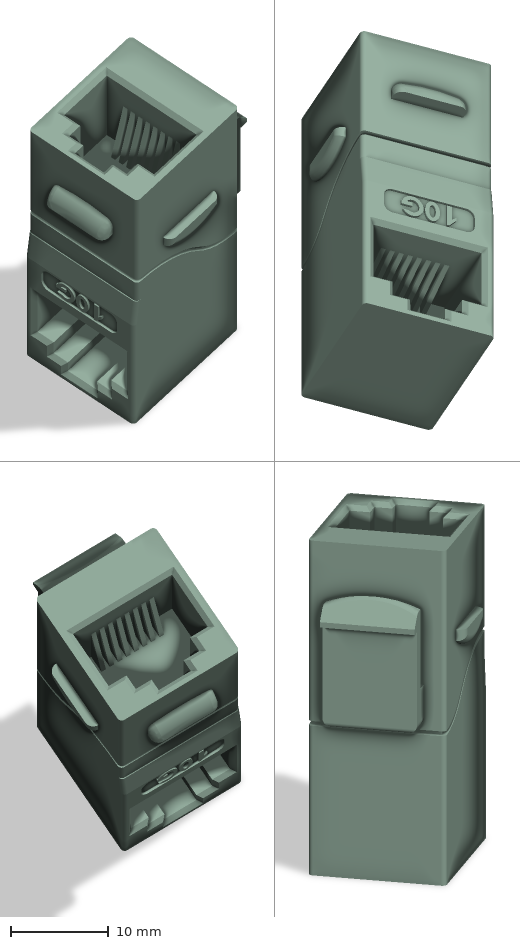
import cadquery as cq
import math


HEIGHT = 36.05
WIDTH = 14.55
UPPER_DEPTH = 16.2
LOWER_DEPTH = 16.75
EDGE_RADIUS = 0.5
RAMP_TOP_Z = 19.55
RAMP_BOTTOM_Z = 16.08
RAMP_LEDGE = 0.1

GROOVE_SIZE = 0.5
GROOVE_BACK_Z = 16.35
GROOVE_FRONT_Z = 22.8
GROOVE_BACK_RADIUS = 9.05

JACK_DEPTH = 10.2
JACK_MARGIN = 1.0
JACK_HALF_WIDTHS = (1.95, 3.85, 6.02)
JACK_HEIGHTS = (1.37, 3.15, 9.9)
MOUTH_CHAMFER = 0.5

CONTACT_COUNT = 8
CONTACT_PITCH = 1.0
CONTACT_WIDTH = 0.55
CONTACT_REACH = 1.95
CONTACT_START = 3.7

LATCH_WIDTH = 10.02
LATCH_ARM_INNER = 1.55
LATCH_ARM_OUTER = 2.92
LATCH_HOOK_REACH = 3.93
LATCH_BOTTOM_Z = 17.05
LATCH_FOOT_TOP_Z = 21.5
LATCH_TIP_HEIGHT = 0.58
LATCH_SLOPE_ANGLE = 48.0
LATCH_SIDE_Z = 30.1
LATCH_CROWN_Z = 31.1
LATCH_CROWN_RADIUS = 0.85
LATCH_SIDE_RADIUS = 1.0
LATCH_HEEL_RADIUS = 0.5

CATCH_LENGTH = 8.0
CATCH_UNDERSIDE_Z = 28.1
CATCH_HEIGHT = 2.4
FRONT_CATCH_REACH = 1.6
FRONT_CATCH_CORNER = 0.97
FRONT_CATCH_CROWN_RADIUS = 17.3
FRONT_CATCH_TIP = 0.18
FRONT_CATCH_BULGE_REACH = 1.05
FRONT_CATCH_BULGE_DROP = 0.72
SIDE_CATCH_REACH = 1.0
SIDE_CATCH_ROUND = 0.97
SIDE_CATCH_TOP_Z = 26.3
SIDE_CATCH_END_HEIGHT = 1.23

PANEL_WIDTH = 10.1
PANEL_HEIGHT = 3.03
PANEL_CORNER = 0.97
PANEL_CENTER_Z = 14.28
PANEL_DEPTH = 0.3
CHARACTER_HEIGHT = 2.52
STROKE = 0.47
ONE_RIGHT_X = -1.95
ONE_STEM_WIDTH = 0.58
ONE_TIP_WIDTH = 0.3
ONE_FLAG_DROP = 0.83
ONE_FLAG_THICKNESS = 0.4
ZERO_HALF_WIDTH = 0.83
ZERO_CENTER_X = -0.35
G_HALF_WIDTH = 1.23
G_CENTER_X = 1.87
G_GAP = 0.65
G_BAR_LENGTH = 1.23


def extrude_across(profile, width):
    """Extrude a YZ profile symmetrically across X."""
    return profile.extrude(width / 2, both=True)



def housing_block():
    upper = (
        cq.Workplane("XY")
        .box(WIDTH, UPPER_DEPTH, HEIGHT, centered=(True, True, False))
        .translate((0, -UPPER_DEPTH / 2, 0))
        .edges("|Z").fillet(EDGE_RADIUS)
    )
    lower = extrude_across(
        cq.Workplane("YZ").polyline([
            (0, 0),
            (-LOWER_DEPTH, 0),
            (-LOWER_DEPTH, RAMP_BOTTOM_Z),
            (-UPPER_DEPTH - RAMP_LEDGE, RAMP_TOP_Z),
            (0, RAMP_TOP_Z),
        ]).close(),
        WIDTH,
    )
    lower = lower.edges("not (|X or |Y)").fillet(EDGE_RADIUS)
    return upper.union(lower)


def groove():
    """Band along two tangent arcs, cut only as deep as the groove size."""
    rise = GROOVE_FRONT_Z - GROOVE_BACK_Z
    turn = 2 * math.atan2(rise, UPPER_DEPTH)
    front_radius = UPPER_DEPTH / math.sin(turn) - GROOVE_BACK_RADIUS

    def back_arc_point(angle, offset):
        radius = GROOVE_BACK_RADIUS - offset
        center_z = GROOVE_BACK_Z + GROOVE_BACK_RADIUS
        return (-radius * math.sin(angle), center_z - radius * math.cos(angle))

    def front_arc_point(angle, offset):
        radius = front_radius + offset
        center_z = GROOVE_FRONT_Z - front_radius
        return (-UPPER_DEPTH + radius * math.sin(angle), center_z + radius * math.cos(angle))

    half = GROOVE_SIZE / 2
    band = extrude_across(
        cq.Workplane("YZ")
        .moveTo(*back_arc_point(0, half))
        .threePointArc(back_arc_point(turn / 2, half), back_arc_point(turn, half))
        .threePointArc(front_arc_point(turn / 2, half), front_arc_point(0, half))
        .lineTo(*front_arc_point(0, -half))
        .threePointArc(front_arc_point(turn / 2, -half), front_arc_point(turn, -half))
        .threePointArc(back_arc_point(turn / 2, -half), back_arc_point(0, -half))
        .close(),
        WIDTH,
    )
    core = (
        cq.Workplane("XY")
        .box(WIDTH - 2 * GROOVE_SIZE, UPPER_DEPTH - 2 * GROOVE_SIZE, HEIGHT, centered=(True, True, False))
        .translate((0, -UPPER_DEPTH / 2, 0))
    )
    return band.cut(core)



def jack_outline(grow):
    """Stepped opening, symmetric about the vertical axis, enlarged all round by `grow`."""
    narrow, middle, wide = (half + grow for half in JACK_HALF_WIDTHS)
    first_step, second_step = (height - grow for height in JACK_HEIGHTS[:2])
    top = JACK_HEIGHTS[2] + grow
    right = [
        (narrow, -grow),
        (narrow, first_step),
        (middle, first_step),
        (middle, second_step),
        (wide, second_step),
        (wide, top),
    ]
    left = [(-x, y) for x, y in reversed(right)]
    return right + left


def jack_cavity():
    """Cavity of a jack below Z = 0, less its contacts; +Y points to the contact side."""
    cavity = cq.Workplane("XY").polyline(jack_outline(0)).close().extrude(-JACK_DEPTH)
    mouth = (
        cq.Workplane("XY").polyline(jack_outline(MOUTH_CHAMFER)).close()
        .workplane(offset=-MOUTH_CHAMFER).polyline(jack_outline(0)).close()
        .loft(ruled=True)
    )
    cavity = cavity.union(mouth)
    wall = JACK_HEIGHTS[2]
    contact = extrude_across(
        cq.Workplane("YZ").polyline([
            (wall, -CONTACT_START),
            (wall, -JACK_DEPTH),
            (wall - CONTACT_REACH, -JACK_DEPTH),
        ]).close(),
        CONTACT_WIDTH,
    )
    for index in range(CONTACT_COUNT):
        x = (index - (CONTACT_COUNT - 1) / 2) * CONTACT_PITCH
        cavity = cavity.cut(contact.translate((x, 0, 0)))
    return cavity


def top_jack():
    return jack_cavity().translate((0, -UPPER_DEPTH + JACK_MARGIN, HEIGHT))


def front_jack():
    facing_front = jack_cavity().rotate((0, 0, 0), (1, 0, 0), 90)
    return facing_front.translate((0, -LOWER_DEPTH, JACK_MARGIN))



def latch():
    hook_z = CATCH_UNDERSIDE_Z
    slope_z = hook_z + LATCH_TIP_HEIGHT
    slope_rise = LATCH_HOOK_REACH * math.tan(math.radians(LATCH_SLOPE_ANGLE))
    body = extrude_across(
        cq.Workplane("YZ").polyline([
            (0, LATCH_BOTTOM_Z),
            (LATCH_ARM_OUTER, LATCH_BOTTOM_Z),
            (LATCH_ARM_OUTER, hook_z),
            (LATCH_HOOK_REACH, hook_z),
            (LATCH_HOOK_REACH, slope_z),
            (0, slope_z + slope_rise),
        ]).close(),
        LATCH_WIDTH,
    )
    half = LATCH_WIDTH / 2
    crowned_face = (
        cq.Workplane("XZ")
        .moveTo(-half, LATCH_BOTTOM_Z)
        .lineTo(half, LATCH_BOTTOM_Z)
        .lineTo(half, LATCH_SIDE_Z)
        .threePointArc((0, LATCH_CROWN_Z), (-half, LATCH_SIDE_Z))
        .close()
        .extrude(-LATCH_HOOK_REACH)
        .edges("|Y and <Z").fillet(LATCH_SIDE_RADIUS)
    )
    body = body.faces("<Z").edges(">Y").fillet(LATCH_HEEL_RADIUS)
    body = body.intersect(crowned_face)
    body = body.faces(">Z").edges(">Y").fillet(LATCH_CROWN_RADIUS)
    slot = (
        cq.Workplane("XY", origin=(0, LATCH_ARM_INNER / 2, LATCH_FOOT_TOP_Z))
        .box(LATCH_WIDTH, LATCH_ARM_INNER, HEIGHT - LATCH_FOOT_TOP_Z, centered=(True, True, False))
    )
    return body.cut(slot)


def side_catch():
    """Catch on the -X side: flat on top, arched below, rounded on its arch and ends."""
    half = CATCH_LENGTH / 2
    end_z = SIDE_CATCH_TOP_Z - SIDE_CATCH_END_HEIGHT
    body = (
        cq.Workplane("YZ", origin=(-WIDTH / 2, -UPPER_DEPTH / 2, 0))
        .moveTo(-half, SIDE_CATCH_TOP_Z)
        .lineTo(-half, end_z)
        .threePointArc((0, SIDE_CATCH_TOP_Z - CATCH_HEIGHT), (half, end_z))
        .lineTo(half, SIDE_CATCH_TOP_Z)
        .close()
        .extrude(-SIDE_CATCH_REACH)
    )
    return body.faces("<X").edges("not >Z").fillet(SIDE_CATCH_ROUND)


def front_catch():
    """Catch on the front: flat below, with a crowned and rounded back and rounded ends."""
    top_z = CATCH_UNDERSIDE_Z + CATCH_HEIGHT
    block = (
        cq.Workplane("XY", origin=(0, -UPPER_DEPTH - FRONT_CATCH_REACH / 2, CATCH_UNDERSIDE_Z))
        .box(CATCH_LENGTH, FRONT_CATCH_REACH, CATCH_HEIGHT, centered=(True, True, False))
    )
    radius = FRONT_CATCH_CROWN_RADIUS
    tip_radius = radius - CATCH_HEIGHT + FRONT_CATCH_TIP
    crown = (
        cq.Workplane("YZ", origin=(0, -UPPER_DEPTH, top_z - radius))
        .lineTo(-FRONT_CATCH_REACH, 0)
        .lineTo(-FRONT_CATCH_REACH, tip_radius)
        .threePointArc((-FRONT_CATCH_BULGE_REACH, radius - FRONT_CATCH_BULGE_DROP), (0, radius))
        .close()
        .revolve(360, (0, 0, 0), (1, 0, 0))
    )
    body = block.intersect(crown)
    for end in ("<X", ">X"):
        body = body.faces(end).edges("not (>Y or <Z)").fillet(FRONT_CATCH_CORNER)
    return body



def panel_recess():
    return (
        cq.Workplane("XZ", origin=(0, -LOWER_DEPTH, PANEL_CENTER_Z))
        .rect(PANEL_WIDTH, PANEL_HEIGHT)
        .extrude(-PANEL_DEPTH)
        .edges("|Y").fillet(PANEL_CORNER)
    )


def stand_in_panel(character):
    """Turn an upright character upside down and stand it on the floor of the panel recess."""
    upside_down = character.rotate((0, 0, 0), (0, 1, 0), 180)
    return upside_down.translate((0, PANEL_DEPTH - LOWER_DEPTH, PANEL_CENTER_Z))


def figure_one():
    top = CHARACTER_HEIGHT / 2
    stem_right = ONE_RIGHT_X
    stem_left = stem_right - ONE_STEM_WIDTH
    flag_left = stem_left - STROKE
    outline = (
        cq.Workplane("XZ").polyline([
            (stem_right, -top),
            (stem_right, top),
            (stem_right - ONE_TIP_WIDTH, top),
            (flag_left, top - ONE_FLAG_DROP),
            (flag_left, top - ONE_FLAG_DROP - ONE_FLAG_THICKNESS),
            (stem_left, top - ONE_FLAG_DROP),
            (stem_left, -top),
        ]).close()
    )
    return stand_in_panel(outline.extrude(PANEL_DEPTH))


def ring_profile(half_width):
    half_height = CHARACTER_HEIGHT / 2
    return (
        cq.Workplane("XZ")
        .ellipse(half_width, half_height)
        .ellipse(half_width - STROKE, half_height - STROKE)
    )


def figure_zero():
    ring = ring_profile(ZERO_HALF_WIDTH).extrude(PANEL_DEPTH)
    return stand_in_panel(ring.translate((ZERO_CENTER_X, 0, 0)))


def letter_g():
    ring = ring_profile(G_HALF_WIDTH).extrude(PANEL_DEPTH)
    gap = cq.Workplane("XZ").rect(G_HALF_WIDTH, G_GAP, centered=False).extrude(PANEL_DEPTH)
    bar = cq.Workplane("XZ").rect(G_BAR_LENGTH, -STROKE, centered=False).extrude(PANEL_DEPTH)
    letter = ring.cut(gap).union(bar)
    return stand_in_panel(letter.translate((G_CENTER_X, 0, 0)))


def housing_body():
    body = housing_block().cut(groove())
    body = body.cut(top_jack()).cut(front_jack()).cut(panel_recess())
    return body.union(latch()).union(front_catch()).union(side_catch()).union(side_catch().mirror("YZ"))


housing = housing_body()
one = figure_one()
zero = figure_zero()
letter = letter_g()
result = cq.Compound.makeCompound([housing.val(), one.val(), zero.val(), letter.val()])